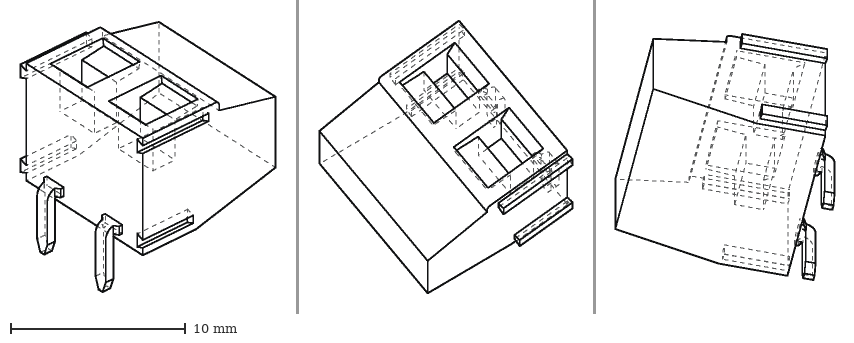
import cadquery as cq
import math

pole_count = 2
pitch = 5.08
body_width = pole_count * pitch
body_depth = 10.1
body_height = 8.1
bottom_depth = 4.04
back_bottom = 1.58
back_top = 6.48
step_depth = 5.8
step_bottom = 7.44
step_round = 0.27

dovetail_depth = 0.5
dovetail_wide = 0.92
dovetail_neck = 0.54
dovetails = [(7.32, 5.0), (0.79, 3.83)]

well_width = 3.2
well_front = 1.02
well_back = 5.01
mouth_depth = 0.62
mouth_side_inset = 0.1
mouth_front_inset = 0.63
well_depth = 3.5
ledge_edge = 3.34
ledge_back_drop = 0.5
ledge_front_drop = 0.72

pin_thickness = 0.6
pin_width = 0.9
pin_top = 1.2
pin_reach = 1.0
pin_length = 3.3
bend_inner_radius = 0.15
bend_outer_radius = bend_inner_radius + pin_thickness
tip_length = 0.8
tip_width = 0.35
shoulder_width = 1.5
shoulder_straight = 0.24
shoulder_reach = 0.43


def make_body():
    return (
        cq.Workplane("YZ")
        .polyline([
            (0, 0),
            (bottom_depth, 0),
            (body_depth, back_bottom),
            (body_depth, back_top),
            (step_depth, step_bottom),
            (step_depth, body_height),
            (0, body_height),
        ])
        .close()
        .extrude(body_width)
        .edges(cq.selectors.NearestToPointSelector((body_width / 2, step_depth, body_height)))
        .fillet(step_round)
    )


def make_dovetail(side_x, center_z, length):
    """Dovetail bar that widens away from its neck at side_x towards -X."""
    half_wide = dovetail_wide / 2
    half_neck = dovetail_neck / 2
    outer_x = side_x - dovetail_depth
    return (
        cq.Workplane("XZ")
        .polyline([
            (side_x, center_z - half_neck),
            (side_x, center_z + half_neck),
            (outer_x, center_z + half_wide),
            (outer_x, center_z - half_wide),
        ])
        .close()
        .extrude(-length)
    )


def make_well(center_x):
    """Well with a tapered mouth, a straight shaft and a sloping ledge along its back wall."""
    shaft_width = well_width - 2 * mouth_side_inset
    shaft_front = well_front + mouth_front_inset
    shaft_length = well_back - shaft_front
    mouth_length = well_back - well_front
    floor_z = body_height - well_depth
    mouth = (
        cq.Workplane("XY", origin=(center_x, well_front + mouth_length / 2, body_height))
        .rect(well_width, mouth_length)
        .workplane(offset=-mouth_depth)
        .center(0, mouth_front_inset / 2)
        .rect(shaft_width, shaft_length)
        .loft(ruled=True)
    )
    shaft = (
        cq.Workplane("XY", origin=(center_x, shaft_front + shaft_length / 2, floor_z))
        .rect(shaft_width, shaft_length)
        .extrude(well_depth - mouth_depth)
    )
    ledge = (
        cq.Workplane("YZ", origin=(center_x - well_width / 2, 0, 0))
        .polyline([
            (ledge_edge, floor_z),
            (ledge_edge, body_height - ledge_front_drop),
            (well_back, body_height - ledge_back_drop),
            (well_back, floor_z),
        ])
        .close()
        .extrude(well_width)
    )
    return mouth.union(shaft).cut(ledge)


def make_pin(center_x):
    """Pin that leaves the body, bends down and ends in a tapered tip."""
    bend_y = bend_outer_radius - pin_reach
    bend_z = pin_top - bend_outer_radius
    diagonal = math.sqrt(0.5)
    inner_y = pin_thickness - pin_reach
    bent_strip = (
        cq.Workplane("YZ", origin=(center_x - shoulder_width / 2, 0, 0))
        .moveTo(0, pin_top)
        .lineTo(bend_y, pin_top)
        .threePointArc(
            (bend_y - bend_outer_radius * diagonal, bend_z + bend_outer_radius * diagonal),
            (-pin_reach, bend_z),
        )
        .lineTo(-pin_reach, -pin_length)
        .lineTo(inner_y, -pin_length)
        .lineTo(inner_y, bend_z)
        .threePointArc(
            (bend_y - bend_inner_radius * diagonal, bend_z + bend_inner_radius * diagonal),
            (bend_y, pin_top - pin_thickness),
        )
        .lineTo(0, pin_top - pin_thickness)
        .close()
        .extrude(shoulder_width)
    )
    half_pin = pin_width / 2
    half_shoulder = shoulder_width / 2
    half_tip = tip_width / 2
    plan_outline = (
        cq.Workplane("XY", origin=(center_x, 0, -pin_length))
        .polyline([
            (-half_shoulder, 0),
            (-half_shoulder, -shoulder_straight),
            (-half_pin, -shoulder_reach),
            (-half_pin, -pin_reach),
            (half_pin, -pin_reach),
            (half_pin, -shoulder_reach),
            (half_shoulder, -shoulder_straight),
            (half_shoulder, 0),
        ])
        .close()
        .extrude(pin_length + pin_top)
    )
    shoulder_bottom = pin_top - pin_thickness
    front_outline = (
        cq.Workplane("XZ", origin=(center_x, 0, 0))
        .polyline([
            (-half_shoulder, pin_top),
            (-half_shoulder, shoulder_bottom),
            (-half_pin, shoulder_bottom),
            (-half_pin, tip_length - pin_length),
            (-half_tip, -pin_length),
            (half_tip, -pin_length),
            (half_pin, tip_length - pin_length),
            (half_pin, shoulder_bottom),
            (half_shoulder, shoulder_bottom),
            (half_shoulder, pin_top),
        ])
        .close()
        .extrude(pin_reach)
    )
    return bent_strip.intersect(plan_outline).intersect(front_outline)


result = make_body()

for center_z, length in dovetails:
    result = result.cut(make_dovetail(body_width, center_z, length))
    result = result.union(make_dovetail(0, center_z, length))

for pole in range(pole_count):
    pole_x = (pole + 0.5) * pitch
    result = result.cut(make_well(pole_x)).union(make_pin(pole_x))